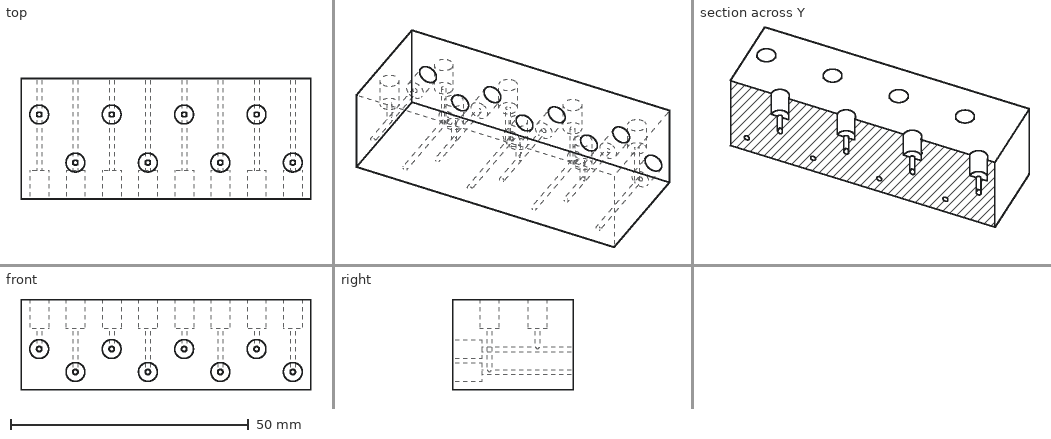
import cadquery as cq

length = 60.95
width = 25.4
height = 19.0

port_count = 8
port_pitch = length / port_count
port_diameter = 3.95
port_depth = 6.1
bore_diameter = 1.05
front_row_heights = (8.6, 3.8)
top_row_offsets = (17.8, 7.7)


def cylinder(diameter, depth, start, direction):
    """Solid cylinder running from start along direction."""
    return cq.Solid.makeCylinder(diameter / 2, depth, cq.Vector(*start), cq.Vector(*direction))


def channel(station):
    """Front port with a through bore, met from above by a top port and its bore."""
    x = port_pitch * (station + 0.5)
    y = top_row_offsets[station % 2]
    z = front_row_heights[station % 2]
    front_start = (x, 0, z)
    top_start = (x, y, height)
    inward = (0, 1, 0)
    down = (0, 0, -1)
    return [
        cylinder(port_diameter, port_depth, front_start, inward),
        cylinder(bore_diameter, width, front_start, inward),
        cylinder(port_diameter, port_depth, top_start, down),
        cylinder(bore_diameter, height - z, top_start, down),
    ]


result = cq.Workplane("XY").box(length, width, height, centered=False)
for station in range(port_count):
    for cutter in channel(station):
        result = result.cut(cq.Workplane(obj=cutter))